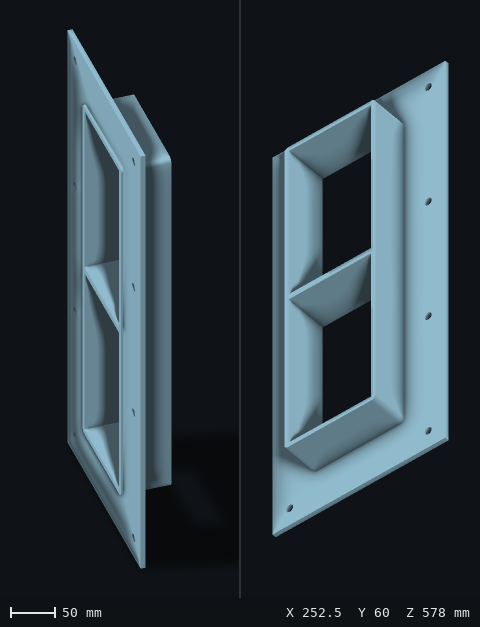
import cadquery as cq

plate_width = 252.5
plate_height = 578.0
plate_thickness = 6.0

sleeve_width = 133.0
sleeve_height = 459.5
sleeve_depth = 60.0
sleeve_corner_radius = 6.0
wall = 6.5
front_lip = 3.0
divider_thickness = 8.0

hole_diameter = 10.5
hole_column_spacing = 202.5
hole_row_spacing = 176.0
hole_rows = 4

opening_width = sleeve_width - 2 * wall
opening_height = (sleeve_height - 2 * wall - divider_thickness) / 2
opening_offset = (opening_height + divider_thickness) / 2


def block(width, depth, height, front_y):
    """Box centred on X and Z, reaching from front_y toward +Y."""
    return cq.Workplane("XY").box(width, depth, height).translate((0, front_y + depth / 2, 0))


def make_plate():
    plate = block(plate_width, plate_thickness, plate_height, 0)
    return (
        plate.faces("<Y")
        .workplane(centerOption="CenterOfBoundBox")
        .rarray(hole_column_spacing, hole_row_spacing, 2, hole_rows)
        .hole(hole_diameter)
    )


def make_sleeve():
    sleeve = block(sleeve_width, sleeve_depth, sleeve_height, -front_lip)
    return sleeve.edges("|Y").fillet(sleeve_corner_radius)


result = make_plate().union(make_sleeve())

for side in (-1, 1):
    opening = block(opening_width, sleeve_depth, opening_height, -front_lip)
    result = result.cut(opening.translate((0, 0, side * opening_offset)))